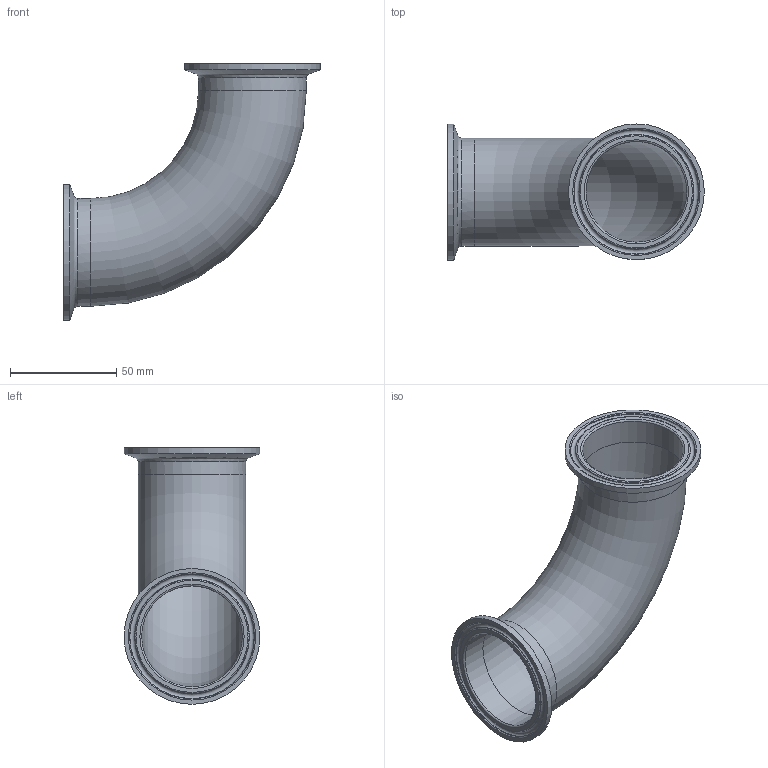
import cadquery as cq
import math

tube_radius = 50.8 / 2
wall = 1.65
bore_radius = tube_radius - wall
bend_radius = 76.2

ferrule_length = 12.7
flange_radius = 64.0 / 2
rim_thickness = 2.85
flange_slope = math.radians(20)
neck_fillet = 2.0
mouth_fillet = 0.8

groove_radius = 56.4 / 2
groove_half_width = 1.37
groove_draft = math.radians(20)
groove_floor_radius = 1.2
groove_lip_fillet = 0.6

face_offset = bend_radius + ferrule_length

neck_corner_z = -rim_thickness - (flange_radius - tube_radius) * math.tan(flange_slope)
selection_margin = 0.1


def make_elbow():
    """Quarter-bend tube running +X out of the inlet end, then +Z up to the outlet end."""
    return (
        cq.Workplane("YZ", origin=(-bend_radius, 0, 0))
        .circle(tube_radius)
        .circle(bore_radius)
        .revolve(90, (1, bend_radius, 0), (-1, bend_radius, 0))
    )


def revolve_about_z(profile):
    """Turn a closed XZ profile into a full ring around the Z axis."""
    return profile.revolve(360, (0, 0, 0), (0, 1, 0))


def edges_near(radius, z):
    """Select the edges that lie at height z and within the given radius."""
    reach = radius + selection_margin
    return cq.selectors.BoxSelector(
        (-reach, -reach, z - selection_margin),
        (reach, reach, z + selection_margin),
        boundingbox=True,
    )


def make_groove():
    """Ring cutter for the gasket groove, opening at Z = 0."""
    wall_end = groove_floor_radius * math.cos(groove_draft)
    wall_end_z = -(groove_half_width - wall_end) / math.tan(groove_draft)
    floor_z = wall_end_z - groove_floor_radius * (1 - math.sin(groove_draft))
    return revolve_about_z(
        cq.Workplane("XZ")
        .moveTo(groove_radius - groove_half_width, 0)
        .lineTo(groove_radius - wall_end, wall_end_z)
        .threePointArc((groove_radius, floor_z), (groove_radius + wall_end, wall_end_z))
        .lineTo(groove_radius + groove_half_width, 0)
        .close()
    )


def make_ferrule():
    """Clamp ferrule on the Z axis: flange face at Z = 0, tube end below it."""
    blank = revolve_about_z(
        cq.Workplane("XZ")
        .moveTo(bore_radius, -ferrule_length)
        .lineTo(tube_radius, -ferrule_length)
        .lineTo(tube_radius, neck_corner_z)
        .lineTo(flange_radius, -rim_thickness)
        .lineTo(flange_radius, 0)
        .lineTo(bore_radius, 0)
        .close()
    )
    body = blank.edges(edges_near(tube_radius, neck_corner_z)).fillet(neck_fillet)
    body = body.edges(edges_near(bore_radius, 0)).fillet(mouth_fillet)
    body = body.cut(make_groove())
    lips = edges_near(groove_radius + groove_half_width, 0) - edges_near(bore_radius + mouth_fillet, 0)
    return body.edges(lips).fillet(groove_lip_fillet)


elbow = make_elbow()

ferrule = make_ferrule()
outlet_ferrule = ferrule.translate((0, 0, face_offset))
inlet_ferrule = ferrule.rotate((0, 0, 0), (0, 1, 0), -90).translate((-face_offset, 0, 0))

result = cq.Compound.makeCompound([elbow.val(), inlet_ferrule.val(), outlet_ferrule.val()])